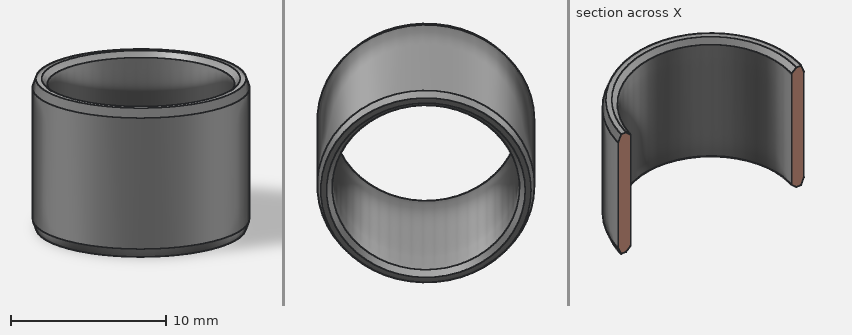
import cadquery as cq

outer_diameter = 14.0
bore_diameter = 12.07
height = 10.0
outer_chamfer_height = 0.6
outer_chamfer_width = 0.22
bore_chamfer = 0.36

outer_radius = outer_diameter / 2
bore_radius = bore_diameter / 2
half_height = height / 2

end_outer_radius = outer_radius - outer_chamfer_width
end_bore_radius = bore_radius + bore_chamfer
outer_shoulder = half_height - outer_chamfer_height
bore_shoulder = half_height - bore_chamfer

wall_section = [
    (bore_radius, -bore_shoulder),
    (end_bore_radius, -half_height),
    (end_outer_radius, -half_height),
    (outer_radius, -outer_shoulder),
    (outer_radius, outer_shoulder),
    (end_outer_radius, half_height),
    (end_bore_radius, half_height),
    (bore_radius, bore_shoulder),
]

result = (
    cq.Workplane("XZ")
    .polyline(wall_section)
    .close()
    .revolve(360, (0, 0, 0), (0, 1, 0))
)